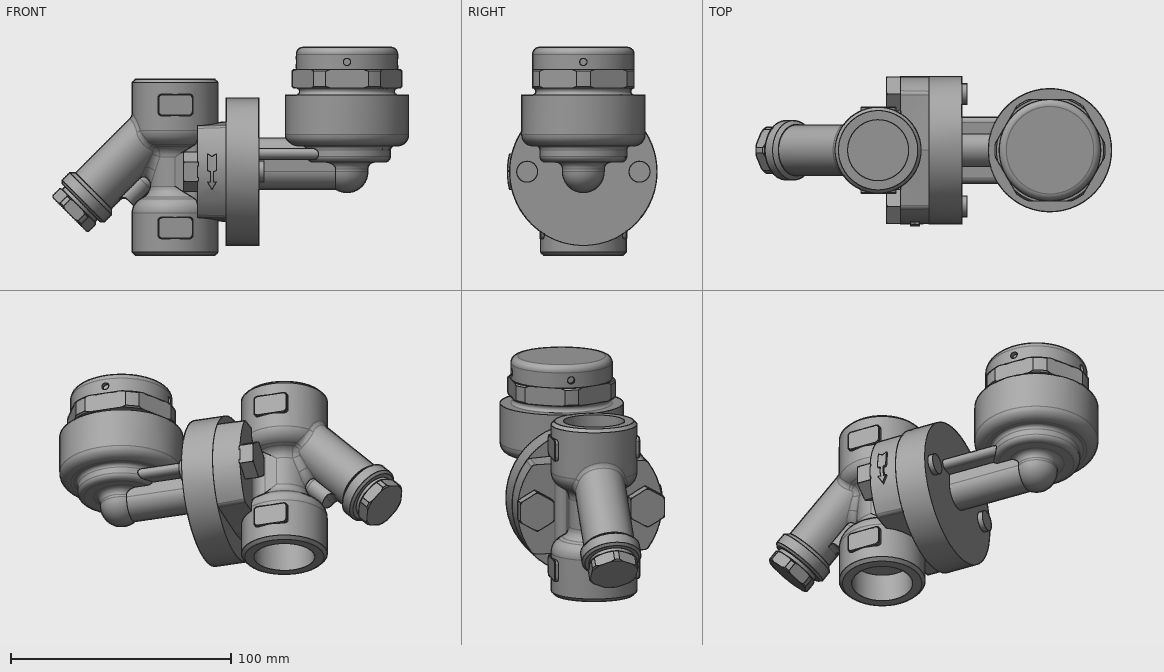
import cadquery as cq
import math


position_tolerance = 0.01
edge_search = 1

body_radius = 39 / 2
body_bottom = -38
body_top = 42
body_chamfer = 1.5
bore_diameter = 27.7
bore_depth = 14
neck_radius = 23 / 2
shoulder_height = 18.7
shoulder_round = 7.3
neck_round = 5.6
shoulder_slope = math.radians(30)

plate_width = 16
plate_centre = 0.2
plate_height = 10
plate_corner = 2
plate_bevel = 0.4
plate_reach = 19.7
plate_levels = (-25.5, 30.3)

branch_level = 28.4
branch_radius = 23 / 2
branch_blend = 3.2
collar_radius = 27 / 2
collar_start = 52.4
collar_end = 60.2
collar_inner_chamfer = 1.8
collar_outer_chamfer = 1.1
plug_neck_radius = 21 / 2
plug_hex_start = 62
plug_end = 67.6
plug_across_flats = 21
plug_corner_diameter = 23
plug_chamfer = 0.6

boss_radius = 4.5
boss_offset = 13.5
boss_start = 31
boss_end = 44.3
boss_dome = 2.5
boss_root_round = 2.5

pad_face = 10.2
flange_face = 23.2
flange_back = 38
flange_radius = 67 / 2
rim_step = 0.1
pad_radius = flange_radius - rim_step
pad_half_height = 20.4
pad_ridge_front = 21.3
pad_ridge_back = 22.7
pad_corner_round = 2.4
web_root_round = 4.7

bolt_spacing = 51
bolt_diameter = 9.5
bolt_end = 40.4
head_start = 3.8
head_across_flats = 15.6
head_corner_diameter = 18
head_chamfer = 0.4

arrow_relief = 1
arrow_centre = 16.7
arrow_half_length = 8.1
arrow_half_width = 2.05
arrow_notch = 1.2
arrow_stem_half_width = 0.75
arrow_tail_end = 0
arrow_tail_taper = 0.5
arrow_head_base = -4.6

duct_radius = 8
duct_upper_axis = 7.4
wing_width = 30
wing_bottom = 5.5
wing_thickness = 5

trap_x = 78
bowl_radius = 56 / 2
bowl_top = 34.8
bowl_bottom = 11.7
bowl_round = 5.1
ring_radius = 39.5 / 2
ring_bottom = 4.3
ring_upper_round = 1.75
ring_lower_round = 2.7
elbow_radius = 9.5
elbow_round = 3.1

cap_radius = 46.1 / 2
cap_top = 56.5
cap_round = 3.2
cap_hex_bottom = 38
cap_hex_top = 46.3
cap_across_flats = 46.1
cap_corner_diameter = 50
cap_hex_chamfer = 0.7
cap_groove_radius = 21.6
cap_groove_level = (bowl_top + cap_hex_bottom) / 2
vent_count = 4
vent_diameter = 3.3
vent_depth = 2
vent_level = 49.8


def rod(start, end, radius):
    """Cylinder along X on the flange axis."""
    return cq.Workplane("YZ").workplane(offset=start).circle(radius).extrude(end - start)


def rounded_hexagon(plane, start, length, across_flats, corner_diameter, chamfer):
    """Hexagonal prism, corners on the plane's x axis, trimmed by a cylinder with chamfered ends."""
    base = cq.Workplane(plane).workplane(offset=start)
    hexagon = base.polygon(6, across_flats / math.cos(math.pi / 6)).extrude(length)
    trim = base.circle(corner_diameter / 2).extrude(length).edges("%CIRCLE").chamfer(chamfer)
    return hexagon.intersect(trim)


def body_half(end):
    """Upper half of the body: neck, sloped shoulder and socket up to the given height."""
    arc_angle = math.pi / 2 - shoulder_slope

    def shoulder_point(angle):
        centre = body_radius - shoulder_round
        return (centre + shoulder_round * math.cos(angle), shoulder_height - shoulder_round * math.sin(angle))

    cone_outer = shoulder_point(arc_angle)
    cone_inner_radius = neck_radius + neck_round * (1 - math.cos(arc_angle))
    cone_inner_z = cone_outer[1] - (cone_outer[0] - cone_inner_radius) * math.tan(shoulder_slope)
    neck_end = cone_inner_z - neck_round * math.sin(arc_angle)

    def neck_point(angle):
        centre = neck_radius + neck_round
        return (centre - neck_round * math.cos(angle), neck_end + neck_round * math.sin(angle))

    return (
        cq.Workplane("XZ")
        .lineTo(neck_radius, 0)
        .lineTo(neck_radius, neck_end)
        .threePointArc(neck_point(arc_angle / 2), neck_point(arc_angle))
        .lineTo(*cone_outer)
        .threePointArc(shoulder_point(arc_angle / 2), (body_radius, shoulder_height))
        .lineTo(body_radius, end - body_chamfer)
        .lineTo(body_radius - body_chamfer, end)
        .lineTo(0, end)
        .close()
        .revolve(360, (0, 0), (0, 1))
    )


def body():
    lower = body_half(-body_bottom).mirror("XY")
    return body_half(body_top).union(lower)


def socket_bores():
    upper = cq.Workplane("XY").workplane(offset=body_top - bore_depth)
    lower = cq.Workplane("XY").workplane(offset=body_bottom)
    bore_radius = bore_diameter / 2
    return upper.circle(bore_radius).extrude(bore_depth).union(lower.circle(bore_radius).extrude(bore_depth))


def label_plates():
    plates = cq.Workplane("XY")
    for level in plate_levels:
        plate = (
            cq.Workplane("XY")
            .box(plate_width, 2 * plate_reach, plate_height)
            .edges("|Y")
            .fillet(plate_corner)
            .faces("<Y or >Y")
            .chamfer(plate_bevel)
        )
        plates = plates.union(plate.translate((plate_centre, 0, level)))
    return plates


branch_plane = cq.Plane(origin=(0, 0, branch_level), xDir=(1, 0, -1), normal=(-1, 0, -1))
branch_inner_face = cq.selectors.DirectionMinMaxSelector(branch_plane.zDir, False)
branch_outer_face = cq.selectors.DirectionMinMaxSelector(branch_plane.zDir, True)


def branch_rod(start, end, radius):
    return cq.Workplane(branch_plane).workplane(offset=start).circle(radius).extrude(end - start)


def branch_boss():
    base = cq.Workplane(branch_plane).workplane(offset=boss_start)
    boss = base.center(boss_offset, 0).circle(boss_radius).extrude(boss_end - boss_start)
    return boss.faces(branch_inner_face).fillet(boss_dome)


def branch_joint(edge):
    """True for the curved edges where the branch tube runs into the body."""
    return edge.geomType() not in ("CIRCLE", "LINE")


def boss_root(edge):
    """True for the edge where the outer end of the boss meets the branch tube."""
    points = [branch_plane.toLocalCoords(edge.positionAt(step)) for step in (0, 0.5, 1)]
    return all(
        abs(point.z - boss_end) < position_tolerance
        and abs(math.hypot(point.x, point.y) - branch_radius) < position_tolerance
        for point in points
    )


def body_with_branch():
    tube = branch_rod(0, collar_start, branch_radius)
    joined = body().union(tube)
    joint = [edge for edge in joined.edges().vals() if branch_joint(edge)]
    blended = joined.newObject(joint).fillet(branch_blend)
    bossed = blended.union(branch_boss())
    root = [edge for edge in bossed.edges().vals() if boss_root(edge)]
    return bossed.newObject(root).fillet(boss_root_round)


def branch_end():
    collar = branch_rod(collar_start, collar_end, collar_radius)
    collar = collar.faces(branch_inner_face).chamfer(collar_inner_chamfer)
    collar = collar.faces(branch_outer_face).chamfer(collar_outer_chamfer)
    plug_neck = branch_rod(collar_end, plug_hex_start, plug_neck_radius)
    plug_length = plug_end - plug_hex_start
    plug_hex = rounded_hexagon(
        branch_plane, plug_hex_start, plug_length, plug_across_flats, plug_corner_diameter, plug_chamfer
    )
    return collar.union(plug_neck).union(plug_hex)


def pad():
    """Pad with round sides almost flush with the flange rim and a ridge that rises toward the flange."""

    def outline(ridge):
        side = flange_radius
        return [
            (-side, pad_half_height),
            (0, ridge),
            (side, pad_half_height),
            (side, -pad_half_height),
            (0, -ridge),
            (-side, -pad_half_height),
        ]

    block = (
        cq.Workplane("YZ")
        .workplane(offset=pad_face)
        .polyline(outline(pad_ridge_front))
        .close()
        .workplane(offset=flange_face - pad_face)
        .polyline(outline(pad_ridge_back))
        .close()
        .loft(ruled=True)
    )
    corner_y = math.sqrt(pad_radius**2 - pad_half_height**2)
    trimmed = block.intersect(rod(pad_face, flange_face, pad_radius))
    corners = [
        edge
        for edge in trimmed.edges().vals()
        if abs(abs(edge.Center().y) - corner_y) < edge_search
        and edge.BoundingBox().xlen > flange_face - pad_face - edge_search
    ]
    return trimmed.newObject(corners).fillet(pad_corner_round)


def pad_web():
    """Slab from the neck to the pad, flared where it meets the pad face."""
    flare_start = pad_face - web_root_round
    flare_width = neck_radius + web_root_round
    diagonal = web_root_round * (1 - math.sqrt(0.5))
    return (
        cq.Workplane("XY")
        .workplane(offset=-shoulder_height)
        .moveTo(0, -neck_radius)
        .lineTo(flare_start, -neck_radius)
        .threePointArc((pad_face - diagonal, -neck_radius - diagonal), (pad_face, -flare_width))
        .lineTo(pad_face, flare_width)
        .threePointArc((pad_face - diagonal, neck_radius + diagonal), (flare_start, neck_radius))
        .lineTo(0, neck_radius)
        .close()
        .extrude(2 * shoulder_height)
    )


def flow_arrow():
    half_outline = [
        (arrow_half_width, arrow_half_length),
        (arrow_half_width, arrow_tail_end + arrow_tail_taper),
        (arrow_stem_half_width, arrow_tail_end),
        (arrow_stem_half_width, arrow_head_base),
        (arrow_half_width, arrow_head_base),
    ]
    mirrored = [(-x, z) for x, z in reversed(half_outline)]
    notch = (0, arrow_half_length - arrow_notch)
    tip = (0, -arrow_half_length)
    arrow = (
        cq.Workplane("XZ")
        .center(arrow_centre, 0)
        .polyline([notch] + half_outline + [tip] + mirrored)
        .close()
        .extrude(flange_radius + arrow_relief)
    )
    shell = rod(pad_face, flange_face, flange_radius + arrow_relief)
    core = rod(pad_face, flange_face, flange_radius - arrow_relief)
    return arrow.intersect(shell.cut(core))


def bolts():
    head_length = pad_face - head_start + head_chamfer
    plane = cq.Plane(origin=(head_start, 0, 0), xDir=(0, 0, 1), normal=(1, 0, 0))
    head = rounded_hexagon(plane, 0, head_length, head_across_flats, head_corner_diameter, head_chamfer)
    bolt = head.union(rod(pad_face, bolt_end, bolt_diameter / 2))
    half_spacing = bolt_spacing / 2
    return bolt.translate((0, half_spacing, 0)).union(bolt.translate((0, -half_spacing, 0)))


def duct():
    """Upright oblong duct with a rounded wing on each side, from the flange to the trap."""
    length = trap_x - flange_back
    base = cq.Workplane("YZ").workplane(offset=flange_back)
    tube = (
        base.center(0, duct_upper_axis / 2)
        .slot2D(duct_upper_axis + 2 * duct_radius, 2 * duct_radius, 90)
        .extrude(length)
    )
    wing_level = wing_bottom + wing_thickness / 2
    wings = base.center(0, wing_level).slot2D(wing_width, wing_thickness).extrude(length)
    return tube.union(wings)


def trap_housing():
    """Bowl, ring and spherical elbow, turned about the trap axis."""
    bend = math.sqrt(0.5)
    ring_top = bowl_bottom - ring_upper_round
    elbow_neck = elbow_radius + elbow_round
    bowl_arc = bowl_round * bend
    upper_arc = ring_upper_round * (1 - bend)
    lower_arc = ring_lower_round * (1 - bend)
    elbow_arc = elbow_round * (1 - bend)
    profile = (
        cq.Workplane("XZ")
        .moveTo(0, -elbow_radius)
        .threePointArc((elbow_radius * bend, -elbow_radius * bend), (elbow_radius, 0))
        .lineTo(elbow_radius, ring_bottom - elbow_round)
        .threePointArc((elbow_radius + elbow_arc, ring_bottom - elbow_arc), (elbow_neck, ring_bottom))
        .lineTo(ring_radius - ring_lower_round, ring_bottom)
        .threePointArc(
            (ring_radius - lower_arc, ring_bottom + lower_arc), (ring_radius, ring_bottom + ring_lower_round)
        )
        .lineTo(ring_radius, ring_top)
        .threePointArc(
            (ring_radius + upper_arc, bowl_bottom - upper_arc), (ring_radius + ring_upper_round, bowl_bottom)
        )
        .lineTo(bowl_radius - bowl_round, bowl_bottom)
        .threePointArc(
            (bowl_radius - bowl_round + bowl_arc, bowl_bottom + bowl_round - bowl_arc),
            (bowl_radius, bowl_bottom + bowl_round),
        )
        .lineTo(bowl_radius, bowl_top)
        .lineTo(0, bowl_top)
        .close()
    )
    return profile.revolve(360, (0, 0), (0, 1))


def trap_cap():
    """Screwed cap with a hexagon, a grooved neck and a ring of vent holes."""
    turned = (
        cq.Workplane("XZ")
        .moveTo(0, bowl_top)
        .lineTo(cap_radius, bowl_top)
        .threePointArc((cap_groove_radius, cap_groove_level), (cap_radius, cap_hex_bottom))
        .lineTo(cap_radius, cap_top)
        .lineTo(0, cap_top)
        .close()
        .revolve(360, (0, 0), (0, 1))
        .faces(">Z")
        .fillet(cap_round)
    )
    hex_length = cap_hex_top - cap_hex_bottom
    hexagon = rounded_hexagon(
        "XY", cap_hex_bottom, hex_length, cap_across_flats, cap_corner_diameter, cap_hex_chamfer
    )
    cap = turned.union(hexagon)
    vent = (
        cq.Workplane("YZ")
        .workplane(offset=cap_radius - vent_depth)
        .center(0, vent_level)
        .circle(vent_diameter / 2)
        .extrude(2 * vent_depth)
    )
    for index in range(vent_count):
        cap = cap.cut(vent.rotate((0, 0, 0), (0, 0, 1), index * 360 / vent_count))
    return cap


valve = body_with_branch().union(branch_end()).union(pad_web()).union(pad())
valve = valve.union(label_plates()).cut(socket_bores())
valve = valve.union(rod(flange_face, flange_back, flange_radius)).union(flow_arrow()).union(bolts())
trap = trap_housing().union(trap_cap()).translate((trap_x, 0, 0))
result = valve.union(duct()).union(trap)